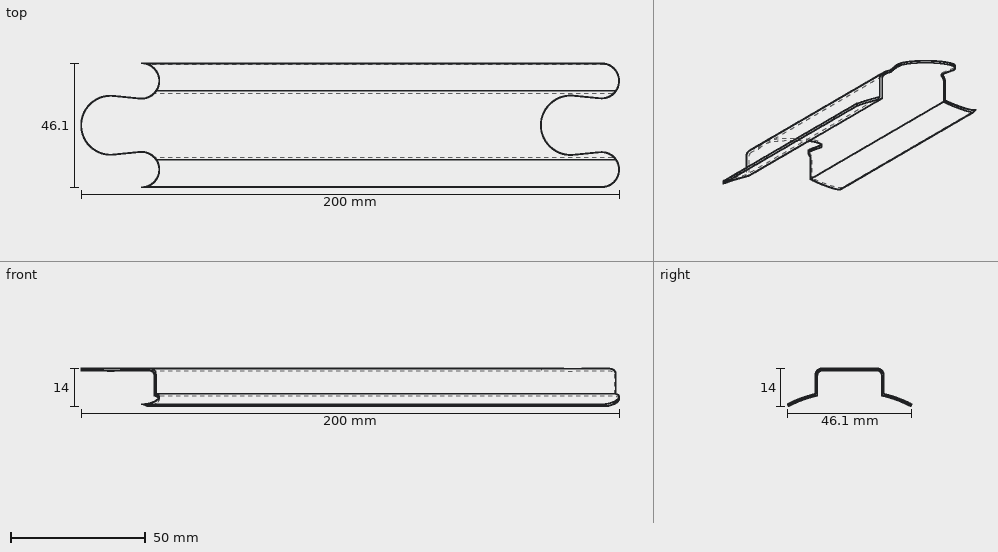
import cadquery as cq
import math

LENGTH = 200.0
WIDTH = 46.07
HEIGHT = 14.04
THICKNESS = 0.8
CHANNEL_WIDTH = 25.5
BEND_RADIUS = 2.6
FLANGE_RADIUS = 45.0
FLANGE_TIP_SLOPE = 27.5
HEAD_RADIUS = 11.0
NOTCH_RADIUS = 6.55
NOTCH_CENTER_X = 22.5

HALF_WIDTH = WIDTH / 2
NOTCH_CENTER_Y = HALF_WIDTH - NOTCH_RADIUS
END_PITCH = LENGTH - NOTCH_CENTER_X - NOTCH_RADIUS


def polar(center, radius, angle):
    """Point at the given angle (radians) on a circle."""
    return (center[0] + radius * math.cos(angle), center[1] + radius * math.sin(angle))


def mirror_y(point):
    return (point[0], -point[1])


def half_section():
    """Folded sheet section on the +Y side: top web, wall and arched flange."""
    outer_y = CHANNEL_WIDTH / 2
    inner_y = outer_y - THICKNESS
    inner_bend = BEND_RADIUS - THICKNESS
    bend_center = (outer_y - BEND_RADIUS, -BEND_RADIUS)
    diagonal = math.radians(45)

    under_radius = FLANGE_RADIUS - THICKNESS
    tip_angle = math.radians(90 - FLANGE_TIP_SLOPE)
    center = (
        HALF_WIDTH - FLANGE_RADIUS * math.cos(tip_angle),
        -HEIGHT - under_radius * math.sin(tip_angle),
    )
    outer_angle = math.acos((outer_y - center[0]) / FLANGE_RADIUS)
    inner_angle = math.acos((inner_y - center[0]) / under_radius)

    return (
        cq.Workplane("YZ")
        .moveTo(0, 0)
        .lineTo(bend_center[0], 0)
        .threePointArc(polar(bend_center, BEND_RADIUS, diagonal), (outer_y, -BEND_RADIUS))
        .lineTo(*polar(center, FLANGE_RADIUS, outer_angle))
        .threePointArc(
            polar(center, FLANGE_RADIUS, (outer_angle + tip_angle) / 2),
            polar(center, FLANGE_RADIUS, tip_angle),
        )
        .lineTo(*polar(center, under_radius, tip_angle))
        .threePointArc(
            polar(center, under_radius, (inner_angle + tip_angle) / 2),
            polar(center, under_radius, inner_angle),
        )
        .lineTo(inner_y, -BEND_RADIUS)
        .threePointArc(polar(bend_center, inner_bend, diagonal), (bend_center[0], -THICKNESS))
        .lineTo(0, -THICKNESS)
        .close()
    )


def folded_sheet():
    """Full-length folded profile before its ends are shaped."""
    half = half_section().extrude(LENGTH)
    return half.union(half.mirror("XZ"))


def end_contour(offset):
    """Points along an end, from the +Y edge through the notch to the tongue tip.

    A straight flank touches both the tongue circle and the notch circle.
    """
    head_center = (HEAD_RADIUS + offset, 0)
    notch_center = (NOTCH_CENTER_X + offset, NOTCH_CENTER_Y)
    run = notch_center[0] - head_center[0]
    distance = math.hypot(run, NOTCH_CENTER_Y)
    flank_angle = math.atan2(NOTCH_CENTER_Y, run) + math.acos((HEAD_RADIUS + NOTCH_RADIUS) / distance)

    edge = (notch_center[0], HALF_WIDTH)
    notch_mid = (notch_center[0] + NOTCH_RADIUS, NOTCH_CENTER_Y)
    notch_end = polar(notch_center, NOTCH_RADIUS, flank_angle + math.pi)
    head_start = polar(head_center, HEAD_RADIUS, flank_angle)
    tip = (offset, 0)
    return edge, notch_mid, notch_end, head_start, tip


def plan_outline():
    """Plan shape of the rail: the same contour at both ends, joined by straight edges."""
    edge, notch_mid, notch_end, head_start, tip = end_contour(0)
    far_edge, far_mid, far_end, far_start, far_tip = end_contour(END_PITCH)
    return (
        cq.Workplane("XY")
        .moveTo(*edge)
        .threePointArc(notch_mid, notch_end)
        .lineTo(*head_start)
        .threePointArc(tip, mirror_y(head_start))
        .lineTo(*mirror_y(notch_end))
        .threePointArc(mirror_y(notch_mid), mirror_y(edge))
        .lineTo(*mirror_y(far_edge))
        .threePointArc(mirror_y(far_mid), mirror_y(far_end))
        .lineTo(*mirror_y(far_start))
        .threePointArc(far_tip, far_start)
        .lineTo(*far_end)
        .threePointArc(far_mid, far_edge)
        .close()
    )


result = folded_sheet().intersect(plan_outline().extrude(-HEIGHT))